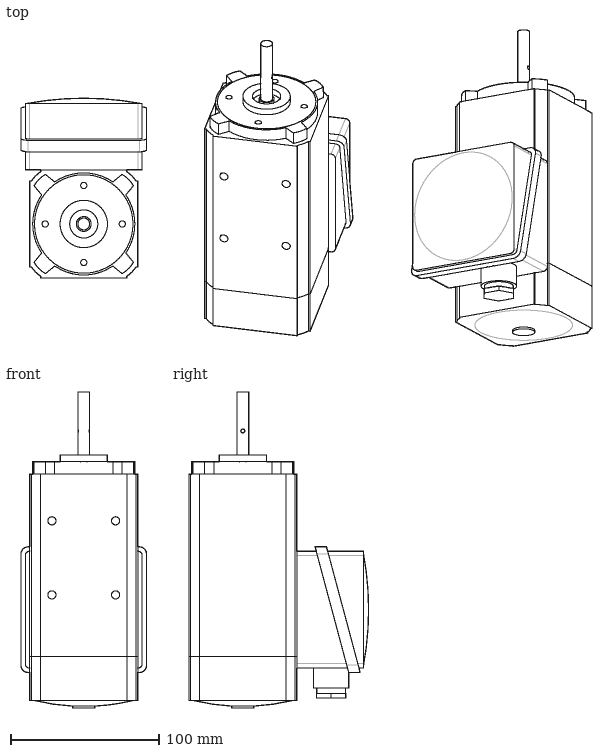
import cadquery as cq
import math


section_width = 73.0
flat_width = 58.3
corner_inset = 1.2
corner_arc_radius = 22.0
housing_length = 123.0
cover_length = 30.0

mount_hole_diameter = 5.5
mount_hole_depth = 10.0
mount_hole_spacing_x = 43.0
mount_hole_spacing_z = 50.0
mount_hole_top_drop = 31.5

dome_radius = 33.0
dome_height = 3.9
end_boss_diameter = 15.0
end_boss_height = 5.0

flange_thickness = 8.5
flange_diameter = 69.0
face_diameter = 66.5
face_step = 0.1
lug_reach = 42.7
lug_tip_width = 10.8
lug_side_angle = 5.8
lug_count = 4
lug_start_angle = 45.0
pilot_diameter = 32.0
pilot_bore_diameter = 19.0
pilot_height = 4.5
flange_hole_diameter = 4.2
flange_hole_circle_radius = 26.0
flange_hole_count = 4

shaft_diameter = 8.0
shaft_length = 47.0
shaft_collar_diameter = 10.0
shaft_collar_height = 2.5
cross_hole_diameter = 2.5
cross_hole_height = 20.7

box_size = 79.0
box_depth = 45.0
box_corner_radius = 3.0
box_center_z = -100.0
lid_dome_radius = 38.0
lid_dome_height = 3.5
rim_size = 85.0
rim_corner_radius = 5.0
rim_tilt = 15.0
rim_thickness = 7.5
rim_center_y = 64.0

gland_x = -15.0
gland_y = 59.6
gland_diameter = 24.0
gland_body_length = 13.5
gland_neck_diameter = 19.5
gland_neck_length = 3.5
gland_nut_width = 20.0
gland_nut_length = 3.3

half_section = section_width / 2
housing_top = -flange_thickness
housing_bottom = housing_top - housing_length
cover_bottom = housing_bottom - cover_length
box_bottom = box_center_z - box_size / 2
box_back = half_section + box_depth


def arc_height(chord):
    """Height of a corner arc above its chord."""
    return corner_arc_radius - math.sqrt(corner_arc_radius**2 - (chord / 2) ** 2)


def quarter_turn(point, count):
    """Turn a point about the origin by count quarter turns."""
    x, y = point
    for _ in range(count):
        x, y = -y, x
    return x, y


def motor_section(top, length):
    """Square prism from top downwards, with stepped corners that bulge in a shallow arc."""
    half_flat = flat_width / 2
    inset_edge = half_section - corner_inset
    corner_chord = math.sqrt(2) * (inset_edge - half_flat)
    arc_middle = (inset_edge + half_flat) / 2 + arc_height(corner_chord) / math.sqrt(2)

    corner = [
        (half_section, -half_flat),
        (half_section, half_flat),
        (inset_edge, half_flat),
        (arc_middle, arc_middle),
        (half_flat, inset_edge),
    ]
    outline = cq.Workplane("XY", origin=(0, 0, top)).moveTo(*corner[0])
    for quarter_turns in range(4):
        _, flat_end, arc_start, arc_mid, arc_end = [quarter_turn(point, quarter_turns) for point in corner]
        next_start = quarter_turn(corner[0], quarter_turns + 1)
        outline = outline.lineTo(*flat_end).lineTo(*arc_start)
        outline = outline.threePointArc(arc_mid, arc_end).lineTo(*next_start)
    return outline.close().extrude(-length)


def dome(base_radius, height):
    """Spherical cap standing on the XY plane, rising along +Z."""
    sphere_radius = (base_radius**2 + height**2) / (2 * height)
    sphere = cq.Workplane("XY").sphere(sphere_radius).translate((0, 0, height - sphere_radius))
    return sphere.intersect(cq.Workplane("XY").circle(2 * base_radius).extrude(2 * height))


def make_housing():
    row_center_z = housing_top - mount_hole_top_drop - mount_hole_spacing_z / 2
    holes = (
        cq.Workplane("XZ", origin=(0, -half_section, row_center_z))
        .rarray(mount_hole_spacing_x, mount_hole_spacing_z, 2, 2)
        .circle(mount_hole_diameter / 2)
        .extrude(-mount_hole_depth)
    )
    return motor_section(housing_top, housing_length).cut(holes)


def make_rear_cover():
    cover = motor_section(housing_bottom, cover_length)
    end_dome = dome(dome_radius, dome_height).rotate((0, 0, 0), (1, 0, 0), 180)
    boss = cq.Workplane("XY").circle(end_boss_diameter / 2).extrude(-end_boss_height)
    return cover.union(end_dome.union(boss).translate((0, 0, cover_bottom)))


def flange_lug():
    """Tapered lug along +X with a rounded tip, level with the flange rim."""
    tip_half = lug_tip_width / 2
    tip_corner = lug_reach - arc_height(lug_tip_width)
    root_half = tip_half + tip_corner * math.tan(math.radians(lug_side_angle))
    return (
        cq.Workplane("XY")
        .moveTo(0, -root_half)
        .lineTo(tip_corner, -tip_half)
        .threePointArc((lug_reach, 0), (tip_corner, tip_half))
        .lineTo(0, root_half)
        .close()
        .extrude(-flange_thickness + face_step)
        .translate((0, 0, -face_step))
    )


def make_flange():
    base = cq.Workplane("XY", origin=(0, 0, housing_top))
    flange = base.circle(flange_diameter / 2).extrude(flange_thickness - face_step)
    for index in range(lug_count):
        angle = lug_start_angle + index * 360 / lug_count
        flange = flange.union(flange_lug().rotate((0, 0, 0), (0, 0, 1), angle))
    face = base.circle(face_diameter / 2).extrude(flange_thickness)
    pilot = (
        cq.Workplane("XY")
        .circle(pilot_diameter / 2)
        .circle(pilot_bore_diameter / 2)
        .extrude(pilot_height)
    )
    holes = (
        cq.Workplane("XY")
        .polarArray(flange_hole_circle_radius, 0, 360, flange_hole_count)
        .circle(flange_hole_diameter / 2)
        .extrude(-flange_thickness)
    )
    return flange.union(face).union(pilot).cut(holes)


def make_shaft():
    shaft = cq.Workplane("XY").circle(shaft_diameter / 2).extrude(shaft_length)
    collar = cq.Workplane("XY").circle(shaft_collar_diameter / 2).extrude(shaft_collar_height)
    cross_hole = (
        cq.Workplane("YZ")
        .center(0, cross_hole_height)
        .circle(cross_hole_diameter / 2)
        .extrude(shaft_diameter, both=True)
    )
    return shaft.union(collar).cut(cross_hole)


def rounded_block(size, depth, radius, front_y):
    """Square block in the XZ plane at the box centre, extruded towards +Y."""
    return (
        cq.Workplane("XZ", origin=(0, front_y, box_center_z))
        .rect(size, size)
        .extrude(-depth)
        .edges("|Y")
        .fillet(radius)
    )


def make_terminal_box():
    box = rounded_block(box_size, box_depth, box_corner_radius, half_section)
    lid_dome = dome(lid_dome_radius, lid_dome_height).rotate((0, 0, 0), (1, 0, 0), -90)
    lid_dome = lid_dome.translate((0, box_back, box_center_z))

    slab = (
        cq.Workplane("XY")
        .box(2 * rim_size, rim_thickness, 2 * rim_size)
        .rotate((0, 0, 0), (1, 0, 0), rim_tilt)
        .translate((0, rim_center_y, box_center_z))
    )
    rim = rounded_block(rim_size, rim_size, rim_corner_radius, half_section).intersect(slab)
    return box.union(lid_dome).union(rim)


def make_cable_gland(box):
    """Stepped gland with a hexagonal end, hanging from the box and trimmed where it meets the rim."""
    corner_diameter = gland_nut_width / math.cos(math.pi / 6)
    gland = (
        cq.Workplane("XY", origin=(gland_x, gland_y, box_bottom))
        .circle(gland_diameter / 2)
        .extrude(-gland_body_length)
        .faces("<Z")
        .workplane()
        .circle(gland_neck_diameter / 2)
        .extrude(gland_neck_length)
        .faces("<Z")
        .workplane()
        .polygon(6, corner_diameter)
        .extrude(gland_nut_length)
    )
    return gland.cut(box)


housing = make_housing()
rear_cover = make_rear_cover()
flange = make_flange()
shaft = make_shaft()
terminal_box = make_terminal_box()
cable_gland = make_cable_gland(terminal_box)

result = cq.Compound.makeCompound(
    [
        housing.val(),
        rear_cover.val(),
        flange.val(),
        shaft.val(),
        terminal_box.val(),
        cable_gland.val(),
    ]
)